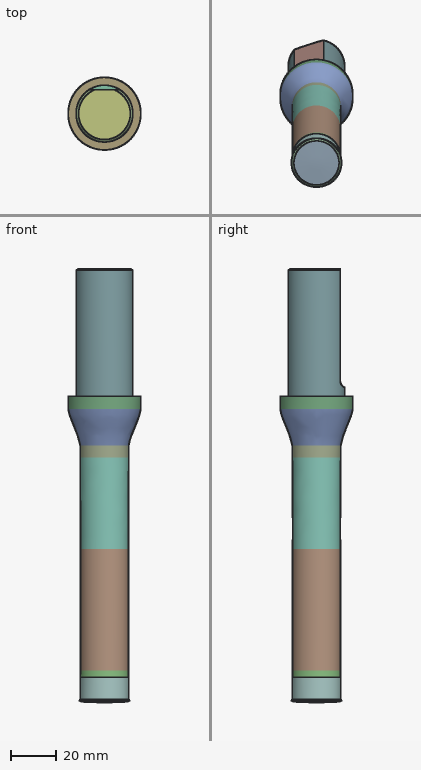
import cadquery as cq
import math

total_length = 191.0
flange_top = 134.8
flange_bottom = 129.1
flare_middle = 120.3
neck_start = 116.3
neck_end = 113.0
taper_top = 108.0
taper_bottom = 67.6
lead_top = 14.1
seat_height = 11.3
crown_skirt_bottom = 1.5
cutting_rim_height = 1.0
corner_height = 0.4

shank_radius = 25.0 / 2
flange_radius = 32.0 / 2
guide_radius = 21.4 / 2
body_radius = 21.2 / 2
rim_radius = 22.2 / 2
flare_middle_radius = 13.0
neck_start_radius = 11.5
corner_radius = 10.0

chamfer_width = 1.1
chamfer_height = 0.8
flat_offset = 10.5
flat_runout_start = 141.5
runout_radius = 3.0


def make_flat_cutter():
    """Block that leaves the clamping flat, with a concave runout at its lower end."""
    arc_drop = runout_radius * math.sqrt(0.5)
    outer_edge = flat_offset + runout_radius
    return (
        cq.Workplane("YZ")
        .moveTo(flat_offset, total_length)
        .lineTo(flat_offset, flat_runout_start)
        .threePointArc(
            (outer_edge - arc_drop, flat_runout_start - arc_drop),
            (outer_edge, flat_runout_start - runout_radius),
        )
        .lineTo(outer_edge, total_length)
        .close()
        .extrude(shank_radius, both=True)
    )


def make_holder():
    """Turned holder: seat end, slim body, flared flange and shank with a flat."""
    flare_points = [
        (neck_start_radius, neck_start),
        (flare_middle_radius, flare_middle),
        (flange_radius, flange_bottom),
    ]
    turned = (
        cq.Workplane("XZ")
        .moveTo(0, seat_height)
        .lineTo(guide_radius, seat_height)
        .lineTo(body_radius, lead_top)
        .lineTo(body_radius, taper_bottom)
        .lineTo(guide_radius, taper_top)
        .lineTo(guide_radius, neck_end)
        .spline(flare_points, includeCurrent=True)
        .lineTo(flange_radius, flange_top)
        .lineTo(shank_radius, flange_top)
        .lineTo(shank_radius, total_length - chamfer_height)
        .lineTo(shank_radius - chamfer_width, total_length)
        .lineTo(0, total_length)
        .close()
        .revolve(360, (0, 0, 0), (0, 1, 0))
    )
    return turned.cut(make_flat_cutter())


def make_crown():
    """Drill crown seated under the holder, with a slightly flared rim and a shallow point."""
    return (
        cq.Workplane("XZ")
        .lineTo(corner_radius, corner_height)
        .lineTo(rim_radius, cutting_rim_height)
        .lineTo(guide_radius, crown_skirt_bottom)
        .lineTo(guide_radius, seat_height)
        .lineTo(0, seat_height)
        .close()
        .revolve(360, (0, 0, 0), (0, 1, 0))
    )


holder = make_holder()
crown = make_crown()
result = cq.Compound.makeCompound([holder.val(), crown.val()])